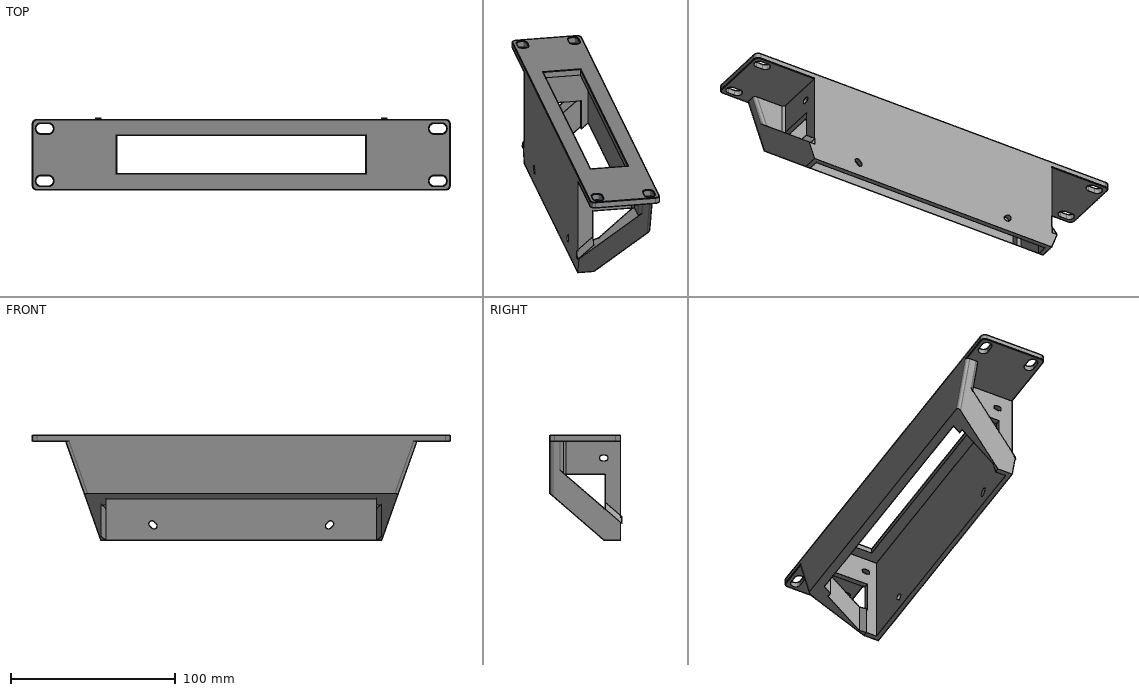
import cadquery as cq
plate_length = 254.0
plate_depth = 43.0
plate_thickness = 4.0
plate_corner_radius = 3.0
plate_edge_chamfer = 0.4
front_y = -plate_depth / 2
back_y = plate_depth / 2

slot_length = 10.6
slot_width = 6.2
slot_spacing_x = 238.8
slot_spacing_y = 31.75
slot_chamfer = 0.4
chamfer_angle = 45.0

total_height = 64.0
top_half_width = 106.8
bottom_half_width = 85.3
front_height = 35.5
foot_depth = 10.0
front_edge_fillet = 2.0
underside_slope = (total_height - front_height) / (plate_depth - foot_depth)

opening_length = 151.2
opening_depth = 22.9
opening_back_margin = 9.9
opening_chamfer = 0.4
end_wall = 3.1
back_wall = 3.0
front_wall = 4.0
cavity_half_width = bottom_half_width - end_wall

cutout_top = 24.0
window_back_margin = 9.3

wing_thickness = 8.3
wing_root_chamfer = 1.6
wing_edge_fillet = 2.0
strap_top_at_back = 53.1

gusset_projection = 0.73
gusset_width = 3.3
gusset_height = 4.2

end_slot_length = 5.0
end_slot_width = 3.4
end_slot_y = back_y - 10.2
end_slot_z = -14.0
back_slot_length = 5.4
back_slot_width = 3.6
back_slot_x = 53.6
back_slot_z = -54.6
back_slot_angle = 45.0


def make_plate():
    plate = (
        cq.Workplane("XY")
        .box(plate_length, plate_depth, plate_thickness, centered=(True, True, False))
        .translate((0, 0, -plate_thickness))
        .edges("|Z")
        .fillet(plate_corner_radius)
    )
    return plate.faces("<Z or >Z").edges().chamfer(plate_edge_chamfer)


def make_housing():
    """Tapered block with rounded front corners, trimmed to the slanted underside."""
    block_top = -plate_thickness + plate_edge_chamfer
    block = (
        cq.Workplane("XZ", origin=(0, back_y, 0))
        .polyline([
            (-top_half_width, block_top),
            (top_half_width, block_top),
            (bottom_half_width, -total_height),
            (-bottom_half_width, -total_height),
        ])
        .close()
        .extrude(plate_depth)
    )
    block = block.faces("<Y").edges("<X or >X").fillet(front_edge_fillet)
    side_profile = (
        cq.Workplane("YZ")
        .polyline([
            (front_y, 0),
            (back_y, 0),
            (back_y, -total_height),
            (back_y - foot_depth, -total_height),
            (front_y, -front_height),
        ])
        .close()
        .extrude(plate_length / 2, both=True)
    )
    return block.intersect(side_profile)


def strap_top_z(y):
    return -strap_top_at_back + underside_slope * (back_y - y)


def make_side_pocket(side):
    """Space above a strap, chamfered where the front wing meets the end of the box."""
    wing_y = front_y + wing_thickness
    pocket = (
        cq.Workplane("YZ", origin=(side * bottom_half_width, 0, 0))
        .polyline([
            (wing_y, 0),
            (back_y, 0),
            (back_y, strap_top_z(back_y)),
            (wing_y, strap_top_z(wing_y)),
        ])
        .close()
        .extrude(side * (plate_length / 2 - bottom_half_width))
    )
    inner_face = "<X" if side > 0 else ">X"
    return pocket.faces(inner_face).edges("<Y").chamfer(wing_root_chamfer)


def round_wing_edges(housing):
    """Round the rear edge at the outer end of each front wing."""
    wing_y = front_y + wing_thickness
    wing_edges = cq.selectors.BoxSelector(
        (-plate_length, wing_y - wing_edge_fillet / 2, -front_height),
        (plate_length, wing_y + wing_edge_fillet / 2, 0),
    )
    return housing.edges(wing_edges).edges("<X or >X").fillet(wing_edge_fillet)


def make_gusset(side):
    """Triangular rib running along the strap beside the box end."""
    start_y = back_y + gusset_projection
    start_z = strap_top_z(start_y)
    inner_x = side * bottom_half_width
    outer_x = side * (bottom_half_width + gusset_width)
    section = cq.Wire.makePolygon([
        cq.Vector(inner_x, start_y, start_z),
        cq.Vector(outer_x, start_y, start_z),
        cq.Vector(inner_x, start_y, start_z + gusset_height),
    ], close=True)
    run = window_back_margin + gusset_projection
    direction = cq.Vector(0, -run, underside_slope * run)
    return cq.Workplane(obj=cq.Solid.extrudeLinear(section, [], direction))


def make_cavity():
    cavity_depth = plate_depth - front_wall - back_wall
    return (
        cq.Workplane("XY", origin=(0, front_y + front_wall + cavity_depth / 2, -total_height))
        .rect(2 * cavity_half_width, cavity_depth)
        .extrude(total_height - plate_thickness)
    )


def make_end_cutouts():
    """Openings in both box ends, reaching down inside the straps."""
    cutout_depth = plate_depth - foot_depth - wing_thickness
    center_y = back_y - foot_depth - cutout_depth / 2
    return (
        cq.Workplane("XY", origin=(0, center_y, -total_height))
        .rect(2 * bottom_half_width, cutout_depth)
        .extrude(total_height - cutout_top)
        .edges("|Z and >Y")
        .chamfer(end_wall)
    )


def make_window():
    """Triangular side-to-side opening between the box ends and the straps."""
    window_back_y = back_y - window_back_margin
    window_front_y = back_y - (strap_top_at_back - cutout_top) / underside_slope
    return (
        cq.Workplane("YZ")
        .polyline([
            (window_back_y, -cutout_top),
            (window_front_y, -cutout_top),
            (window_back_y, strap_top_z(window_back_y)),
        ])
        .close()
        .extrude(plate_length / 2, both=True)
    )


def make_opening():
    center_y = back_y - opening_back_margin - opening_depth / 2
    opening = (
        cq.Workplane("XY", origin=(0, center_y, 0))
        .rect(opening_length, opening_depth)
        .extrude(-plate_thickness)
    )
    rim = (
        cq.Workplane("XY", origin=(0, center_y, 0))
        .rect(opening_length + 2 * opening_chamfer, opening_depth + 2 * opening_chamfer)
        .workplane(offset=-opening_chamfer)
        .rect(opening_length, opening_depth)
        .loft()
    )
    return opening.union(rim)


def make_mounting_slots():
    slots = cq.Workplane("XY")
    for x in (-slot_spacing_x / 2, slot_spacing_x / 2):
        for y in (-slot_spacing_y / 2, slot_spacing_y / 2):
            center = cq.Workplane("XY", origin=(x, y, 0))
            slot = center.slot2D(slot_length, slot_width).extrude(-plate_thickness)
            rim = (
                center
                .slot2D(slot_length + 2 * slot_chamfer, slot_width + 2 * slot_chamfer)
                .extrude(-slot_chamfer, taper=chamfer_angle)
            )
            slots = slots.add(slot.union(rim))
    return slots.combine()


def make_tie_slots():
    slots = (
        cq.Workplane("YZ")
        .center(end_slot_y, end_slot_z)
        .slot2D(end_slot_length, end_slot_width)
        .extrude(plate_length / 2, both=True)
    )
    for side in (-1, 1):
        back_slot = (
            cq.Workplane("XZ", origin=(0, back_y, 0))
            .center(side * back_slot_x, back_slot_z)
            .slot2D(back_slot_length, back_slot_width, side * back_slot_angle)
            .extrude(back_wall)
        )
        slots = slots.union(back_slot)
    return slots


housing = make_housing()
for side in (-1, 1):
    housing = housing.cut(make_side_pocket(side))
housing = round_wing_edges(housing)
for side in (-1, 1):
    housing = housing.union(make_gusset(side))
housing = housing.cut(make_cavity())
housing = housing.cut(make_end_cutouts())
housing = housing.cut(make_window())

result = make_plate().union(housing)
result = result.cut(make_opening())
result = result.cut(make_mounting_slots())
result = result.cut(make_tie_slots())